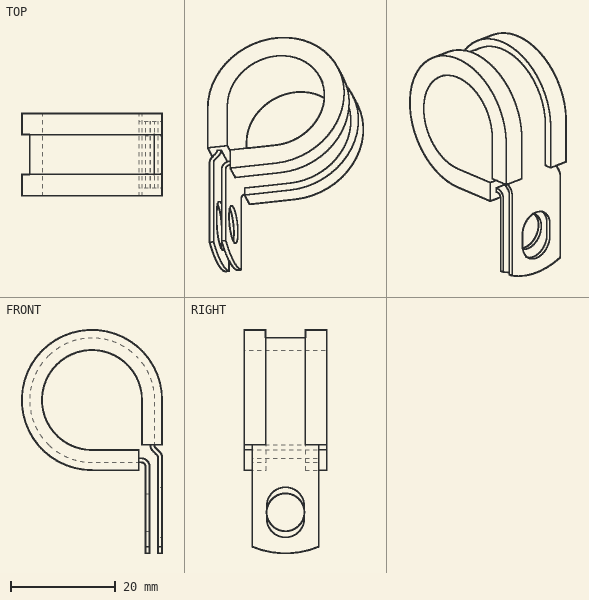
import cadquery as cq
import math

overall_height = 42.65
cushion_outer_radius = 13.4
cushion_wall = 3.9
cushion_width = 15.75
upright_end_z = -8.55
level_end_x = 8.95

groove_width = 7.6
groove_depth = 1.5

strap_thickness = 0.8
strap_width = 12.7
bend_inner_radius = 0.8
inner_tab_outer_x = 11.0
jog_angle = math.radians(45)

hole_diameter = 7.15
slot_length = 9.55
hole_z = -21.4
tab_end_rise = 1.3

cushion_inner_radius = cushion_outer_radius - cushion_wall
strap_outer_radius = cushion_outer_radius - groove_depth
strap_inner_radius = strap_outer_radius - strap_thickness
bend_outer_radius = bend_inner_radius + strap_thickness
tab_bottom_z = cushion_outer_radius - overall_height


def loop_band(inner_radius, outer_radius, width):
    """Three-quarter ring with straight runs down to one end and out to the other."""
    diagonal = math.sqrt(0.5)
    outer_middle = (-outer_radius * diagonal, outer_radius * diagonal)
    inner_middle = (-inner_radius * diagonal, inner_radius * diagonal)
    return (
        cq.Workplane("XZ")
        .moveTo(level_end_x, -outer_radius)
        .lineTo(0, -outer_radius)
        .threePointArc(outer_middle, (outer_radius, 0))
        .lineTo(outer_radius, upright_end_z)
        .lineTo(inner_radius, upright_end_z)
        .lineTo(inner_radius, 0)
        .threePointArc(inner_middle, (0, -inner_radius))
        .lineTo(level_end_x, -inner_radius)
        .close()
        .extrude(width / 2, both=True)
    )


def inner_tab():
    """Strap end that leaves the level run and bends down through 90 degrees."""
    inner_x = inner_tab_outer_x - strap_thickness
    bend_x = inner_x - bend_inner_radius
    bend_z = -strap_outer_radius - bend_inner_radius
    diagonal = math.sqrt(0.5)
    outer_reach = bend_outer_radius * diagonal
    inner_reach = bend_inner_radius * diagonal
    return (
        cq.Workplane("XZ")
        .moveTo(level_end_x, -strap_inner_radius)
        .lineTo(bend_x, -strap_inner_radius)
        .threePointArc((bend_x + outer_reach, bend_z + outer_reach), (inner_tab_outer_x, bend_z))
        .lineTo(inner_tab_outer_x, tab_bottom_z)
        .lineTo(inner_x, tab_bottom_z)
        .lineTo(inner_x, bend_z)
        .threePointArc((bend_x + inner_reach, bend_z + inner_reach), (bend_x, -strap_outer_radius))
        .lineTo(level_end_x, -strap_outer_radius)
        .close()
        .extrude(strap_width / 2, both=True)
    )


def outer_tab():
    """Strap end that jogs outward until it is flush with the cushion's +X side."""
    upper_x = strap_outer_radius + bend_inner_radius
    lower_x = cushion_outer_radius - bend_outer_radius
    bend_radius_sum = bend_inner_radius + bend_outer_radius
    bend_shift = bend_radius_sum * (1 - math.cos(jog_angle))
    slant_drop = (groove_depth - bend_shift) / math.tan(jog_angle)
    upper_z = upright_end_z
    lower_z = upper_z - bend_radius_sum * math.sin(jog_angle) - slant_drop

    def upper_point(radius, angle):
        return (upper_x - radius * math.cos(angle), upper_z - radius * math.sin(angle))

    def lower_point(radius, angle):
        return (lower_x + radius * math.cos(angle), lower_z + radius * math.sin(angle))

    half_angle = jog_angle / 2
    return (
        cq.Workplane("XZ")
        .moveTo(*upper_point(bend_inner_radius, 0))
        .threePointArc(
            upper_point(bend_inner_radius, half_angle), upper_point(bend_inner_radius, jog_angle)
        )
        .lineTo(*lower_point(bend_outer_radius, jog_angle))
        .threePointArc(
            lower_point(bend_outer_radius, half_angle), lower_point(bend_outer_radius, 0)
        )
        .lineTo(cushion_outer_radius, tab_bottom_z)
        .lineTo(cushion_outer_radius - strap_thickness, tab_bottom_z)
        .lineTo(*lower_point(bend_inner_radius, 0))
        .threePointArc(
            lower_point(bend_inner_radius, half_angle), lower_point(bend_inner_radius, jog_angle)
        )
        .lineTo(*upper_point(bend_outer_radius, jog_angle))
        .threePointArc(
            upper_point(bend_outer_radius, half_angle), upper_point(bend_outer_radius, 0)
        )
        .close()
        .extrude(strap_width / 2, both=True)
    )


def tab_outline():
    """Solid along X that trims both tabs to a rounded lower end."""
    half_width = strap_width / 2
    corner_z = tab_bottom_z + tab_end_rise
    return (
        cq.Workplane("YZ")
        .moveTo(-half_width, 0)
        .lineTo(-half_width, corner_z)
        .threePointArc((0, tab_bottom_z), (half_width, corner_z))
        .lineTo(half_width, 0)
        .close()
        .extrude(cushion_outer_radius)
    )


cushion = loop_band(cushion_inner_radius, cushion_outer_radius, cushion_width)
groove = loop_band(strap_outer_radius, cushion_outer_radius, groove_width)

hole = (
    cq.Workplane("YZ")
    .center(0, hole_z)
    .circle(hole_diameter / 2)
    .extrude(inner_tab_outer_x)
)
slot = (
    cq.Workplane("YZ", origin=(inner_tab_outer_x, 0, hole_z))
    .slot2D(slot_length, hole_diameter, 90)
    .extrude(cushion_outer_radius - inner_tab_outer_x)
)
tabs = inner_tab().cut(hole).union(outer_tab().cut(slot)).intersect(tab_outline())

result = cushion.cut(groove).union(tabs)